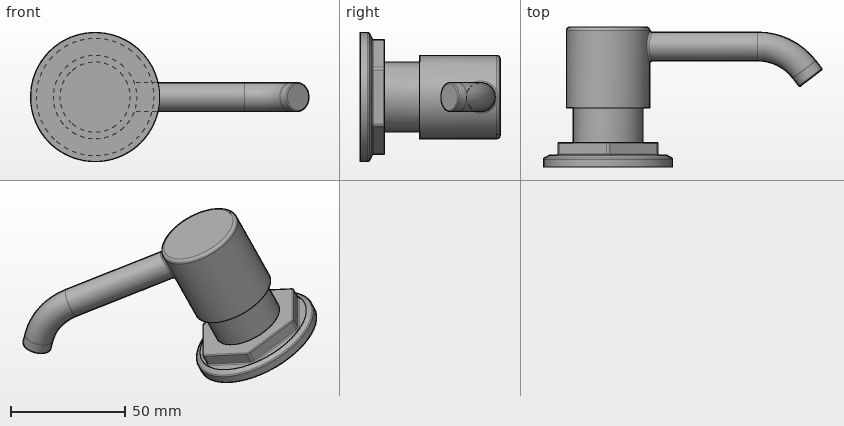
import cadquery as cq
import math

flange_radius = 28.3
flange_height = 5.2
flange_edge_height = 1.5
flange_edge_width = 2.5
flange_rim_radius = 0.9

hex_across_flats = 43.9
hex_top = 10.7
hex_corner_radius = 1.5
hex_edge_radius = 0.5
hex_root_radius = 0.5

neck_radius = 15.4
head_radius = 18.3
head_bottom = 26.0
head_top = 61.3
head_edge_radius = 1.6

spout_radius = 6.3
spout_axis_height = 52.8
bend_start = 65.5
bend_radius = 25.7
bend_angle = 52.5
tip_length = 4.8
tip_edge_radius = 0.5
spout_root_radius = 1.1
joint_search_margin = 0.4


def cylinder(radius, bottom, top):
    """Upright cylinder around the Y axis."""
    return cq.Workplane("XZ", origin=(0, bottom, 0)).circle(radius).extrude(bottom - top)


def make_flange():
    """Disc with a shallow bevel around its upper edge, softened at the rim."""
    disc = cylinder(flange_radius, 0, flange_height)
    disc = disc.faces(">Y").edges().chamfer(flange_edge_height, flange_edge_width)
    rim_center = (0, flange_height - flange_edge_height, 0)
    return disc.edges(cq.NearestToPointSelector(rim_center)).fillet(flange_rim_radius)


def make_hex_collar():
    """Hexagon with flats facing +X and -X, and rounded corners and upper rim."""
    corner_distance = hex_across_flats / math.sqrt(3)
    collar = (
        cq.Workplane("XZ", origin=(0, flange_height, 0))
        .polygon(6, 2 * corner_distance)
        .extrude(flange_height - hex_top)
        .rotate((0, 0, 0), (0, 1, 0), 30)
    )
    collar = collar.edges("|Y").fillet(hex_corner_radius)
    return collar.faces(">Y").edges().fillet(hex_edge_radius)


def make_head():
    """Plain cylindrical pump head with a rounded top edge."""
    head = cylinder(head_radius, head_bottom, head_top)
    return head.faces(">Y").edges().fillet(head_edge_radius)


def make_spout():
    """Round bar leaving the head along +X, then bending down to a short straight tip."""
    angle = math.radians(bend_angle)

    def bend_point(turn):
        return (
            bend_start + bend_radius * math.sin(turn),
            spout_axis_height - bend_radius * (1 - math.cos(turn)),
        )

    bend_end = bend_point(angle)
    tip_end = (
        bend_end[0] + tip_length * math.cos(angle),
        bend_end[1] - tip_length * math.sin(angle),
    )
    path = (
        cq.Workplane("XY")
        .moveTo(0, spout_axis_height)
        .lineTo(bend_start, spout_axis_height)
        .threePointArc(bend_point(angle / 2), bend_end)
        .lineTo(*tip_end)
    )
    spout = cq.Workplane("YZ", origin=(0, spout_axis_height, 0)).circle(spout_radius).sweep(path)
    tip_direction = cq.Vector(math.cos(angle), -math.sin(angle), 0)
    tip_face = cq.DirectionMinMaxSelector(tip_direction)
    return spout.faces(tip_face).edges().fillet(tip_edge_radius)


def join_spout(head, spout):
    """Fuse the spout to the head and round the joint between them."""
    joined = head.union(spout)
    joint_reach = spout_radius + joint_search_margin
    joint_back = math.sqrt(head_radius**2 - spout_radius**2)
    joint_box = cq.selectors.BoxSelector(
        (joint_back - joint_search_margin, spout_axis_height - joint_reach, -joint_reach),
        (head_radius + joint_search_margin, spout_axis_height + joint_reach, joint_reach),
        boundingbox=True,
    )
    return joined.edges(joint_box).fillet(spout_root_radius)


def make_base():
    """Flange and hexagonal collar, with a small concave fillet between them."""
    base = make_flange().union(make_hex_collar())
    ledge = base.faces("|Y").faces(cq.selectors.BoxSelector(
        (-flange_radius, flange_height - joint_search_margin, -flange_radius),
        (flange_radius, flange_height + joint_search_margin, flange_radius),
    ))
    root_edges = ledge.newObject(ledge.val().innerWires()).edges()
    return root_edges.fillet(hex_root_radius)


result = (
    make_base()
    .union(cylinder(neck_radius, hex_top, head_bottom))
    .union(join_spout(make_head(), make_spout()))
)